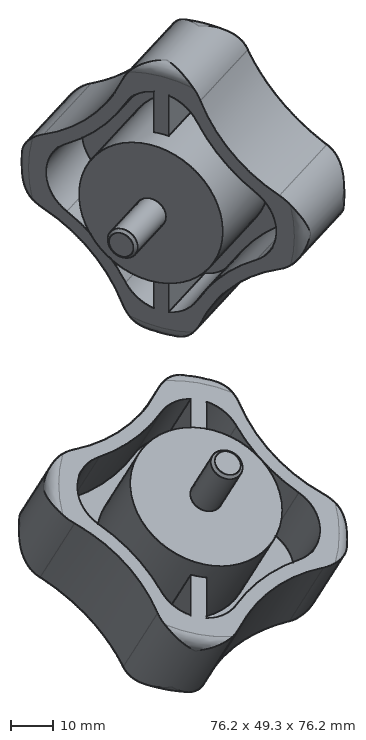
import cadquery as cq
import math

tip_radius = 38.1
hollow_center = 46.5
waist_radius = 26.5
lobe_count = 4

body_height = 27.7
rim_height = 25.7
rim_round = 5.65
bottom_round = 2.9

pocket_tip_radius = 30.5
pocket_waist_radius = 22.9
pocket_depth = 19.4
rib_width = 4.0
rib_overlap = 1.5

hub_diameter = 38.1
hub_projection = 5.6
pin_diameter = 8.0
pin_length = 16.0
pin_chamfer = 0.8


def polar(radius, angle):
    return radius * math.cos(angle), radius * math.sin(angle)


def star(tip, waist, height):
    """Four-lobed prism from Y = 0 to Y = height with tangent lobe and hollow arcs."""
    lobe = tangent_lobe_radius(tip, waist)
    lobe_center = tip - lobe
    flank_angle = math.atan2(hollow_center, hollow_center - lobe_center)
    join_x = lobe_center + lobe * math.cos(flank_angle)
    join_z = lobe * math.sin(flank_angle)
    join_radius = math.hypot(join_x, join_z)
    join_angle = math.atan2(join_z, join_x)
    step = 2 * math.pi / lobe_count

    outline = cq.Workplane("XZ").moveTo(*polar(join_radius, -join_angle))
    for index in range(lobe_count):
        axis = index * step
        outline = outline.threePointArc(polar(tip, axis), polar(join_radius, axis + join_angle))
        next_join = polar(join_radius, axis + step - join_angle)
        outline = outline.threePointArc(polar(waist, axis + step / 2), next_join)
    return outline.close().extrude(-height)


def tangent_lobe_radius(tip, waist):
    """Lobe radius that makes the lobe tangent to a hollow passing through the waist."""
    hollow = hollow_center * math.sqrt(2) - waist
    gap = hollow_center - tip
    return (hollow_center**2 + gap**2 - hollow**2) / (2 * (hollow - gap))


def turned_envelope():
    """Solid of revolution with a domed top and rounded rims."""
    round_start = tip_radius - rim_round
    diagonal = math.sqrt(0.5)
    rise = body_height - rim_height
    dome_radius = (round_start**2 + rise**2) / (2 * rise)
    dome_mid = round_start / 2
    dome_mid_height = body_height - dome_radius + math.sqrt(dome_radius**2 - dome_mid**2)
    rim_mid = (
        round_start + rim_round * diagonal,
        rim_height - rim_round * (1 - diagonal),
    )
    bottom_mid = (
        tip_radius - bottom_round * (1 - diagonal),
        bottom_round * (1 - diagonal),
    )
    profile = (
        cq.Workplane("XY")
        .lineTo(tip_radius - bottom_round, 0)
        .threePointArc(bottom_mid, (tip_radius, bottom_round))
        .lineTo(tip_radius, rim_height - rim_round)
        .threePointArc(rim_mid, (round_start, rim_height))
        .threePointArc((dome_mid, dome_mid_height), (0, body_height))
        .close()
    )
    return profile.revolve(360, (0, 0, 0), (0, 1, 0))


def ribs():
    """Vertical rib across the recess, interrupted only by the hub."""
    span = 2 * (pocket_tip_radius + rib_overlap)
    return cq.Workplane("XZ").rect(rib_width, span).extrude(-pocket_depth)


def hub_and_pin():
    """Hub rising from the recess floor past the underside, with a chamfered pin."""
    hub = (
        cq.Workplane("XZ", origin=(0, pocket_depth, 0))
        .circle(hub_diameter / 2)
        .extrude(pocket_depth + hub_projection)
    )
    pin = (
        cq.Workplane("XZ")
        .circle(pin_diameter / 2)
        .extrude(hub_projection + pin_length)
        .faces("<Y")
        .chamfer(pin_chamfer)
    )
    return hub.union(pin)


body = star(tip_radius, waist_radius, body_height).intersect(turned_envelope())
recess = star(pocket_tip_radius, pocket_waist_radius, pocket_depth)
result = body.cut(recess).union(ribs()).union(hub_and_pin())